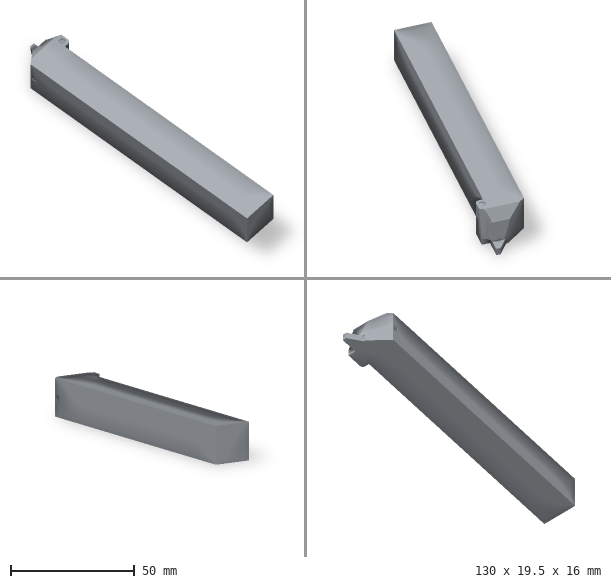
import cadquery as cq

total_length = 130.0
shank_size = 16.0
overall_width = 19.5

seat_height = 3.2
nose_x = 4.7
nose_step_height = 3.9
brow_x = 6.6
brow_height = 11.7
head_top_x = 10.9

bevel_start_x = 12.6
bevel_end_x = 5.8
bevel_end_y = 9.0
nose_side_y = 11.0
lug_end_x = 16.9
lug_corner_radius = 1.5

tip_corner_y = 14.2
tip_root_x = 5.7
tip_root_y = 9.9

flank_start = (5.0, 15.9)
flank_middle = (6.8, 17.3)
flank_end = (8.0, overall_width)
flank_lean = 3.8

hole_x = 14.3
pin_hole_y = 17.2
pin_hole_diameter = 2.7
pin_hole_depth = 0.4
screw_diameter = 2.9
screw_recess_depth = 0.4
screw_socket_diameter = 1.3
screw_socket_depth = 0.8


def make_body():
    """Shank with a bevelled head and a rounded side lug."""
    plan = (
        cq.Workplane("XY")
        .moveTo(bevel_start_x, 0)
        .lineTo(total_length, 0)
        .lineTo(total_length, shank_size)
        .lineTo(lug_end_x, shank_size)
        .lineTo(lug_end_x, overall_width - lug_corner_radius)
        .radiusArc((lug_end_x - lug_corner_radius, overall_width), -lug_corner_radius)
        .lineTo(nose_x, overall_width)
        .lineTo(nose_x, nose_side_y)
        .lineTo(bevel_end_x, bevel_end_y)
        .close()
        .extrude(shank_size)
    )
    profile = (
        cq.Workplane("XZ")
        .polyline([
            (nose_x, 0),
            (nose_x, nose_step_height),
            (brow_x, brow_height),
            (head_top_x, shank_size),
            (total_length, shank_size),
            (total_length, 0),
        ])
        .close()
        .extrude(-overall_width)
    )
    return plan.intersect(profile)


def flank_outline(height, shift):
    """Closed wire around the flank waste, moved along X by shift."""
    start, middle, end = (
        cq.Vector(x + shift, y, height) for x, y in (flank_start, flank_middle, flank_end)
    )
    outer_corner = cq.Vector(0, overall_width, height)
    inner_corner = cq.Vector(0, flank_start[1], height)
    return cq.Wire.assembleEdges([
        cq.Edge.makeThreePointArc(start, middle, end),
        cq.Edge.makeLine(end, outer_corner),
        cq.Edge.makeLine(outer_corner, inner_corner),
        cq.Edge.makeLine(inner_corner, start),
    ])


def make_flank_cutter():
    """Waste above the seat, bounded by the leaning hollow flank."""
    wires = [flank_outline(seat_height, 0), flank_outline(shank_size, flank_lean)]
    return cq.Workplane(cq.Solid.makeLoft(wires, True))


def make_seat_cutter(depth, near_y, far_y):
    """Block below the seat height, reaching back along X to the given depth."""
    return (
        cq.Workplane("XY", origin=(0, near_y, 0))
        .box(depth, far_y - near_y, seat_height, centered=False)
    )


def make_tip():
    """Flat pointed tip level with the shank side."""
    return (
        cq.Workplane("XY")
        .polyline([
            (0, shank_size),
            (0, tip_corner_y),
            (tip_root_x, tip_root_y),
            (bevel_end_x, bevel_end_y),
            (bevel_end_x, shank_size),
        ])
        .close()
        .extrude(seat_height)
    )


def make_pin_hole():
    """Blind hole in the top of the lug."""
    return (
        cq.Workplane("XY", origin=(hole_x, pin_hole_y, shank_size))
        .circle(pin_hole_diameter / 2)
        .extrude(-pin_hole_depth)
    )


def make_side_hole(diameter, depth):
    """Blind hole in the plain side at mid height."""
    return (
        cq.Workplane("XZ", origin=(hole_x, 0, shank_size / 2))
        .circle(diameter / 2)
        .extrude(-depth)
    )


body = make_body()
body = body.cut(make_seat_cutter(bevel_end_x, bevel_end_y, shank_size))
body = body.cut(make_seat_cutter(flank_end[0], shank_size, overall_width))
body = body.cut(make_flank_cutter())
body = body.union(make_tip())
body = body.cut(make_pin_hole())
body = body.cut(make_side_hole(screw_diameter, screw_recess_depth))
body = body.cut(make_side_hole(screw_socket_diameter, screw_socket_depth))

result = cq.Workplane(body.solids().val())